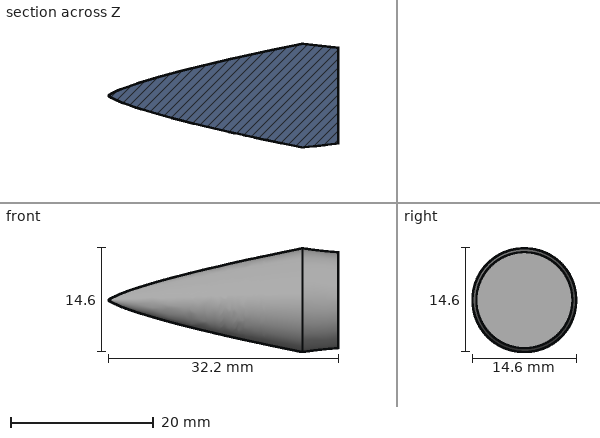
import cadquery as cq

total_length = 32.2
largest_diameter = 14.6
nose_length = 27.15
collar_end_diameter = 13.45

nose_power = 0.75
curve_points = 16

tip_x = -total_length / 2
shoulder_x = tip_x + nose_length
collar_end_x = tip_x + total_length
shoulder_radius = largest_diameter / 2
collar_end_radius = collar_end_diameter / 2


def nose_point(step):
    """Point on the nose curve, with the points closer together near the tip."""
    fraction = (step / curve_points) ** 2
    return tip_x + nose_length * fraction, shoulder_radius * fraction**nose_power


nose_curve = [nose_point(step) for step in range(1, curve_points + 1)]

profile = (
    cq.Workplane("XY")
    .moveTo(tip_x, 0)
    .spline(nose_curve, includeCurrent=True)
    .lineTo(collar_end_x, collar_end_radius)
    .lineTo(collar_end_x, 0)
    .close()
)

result = profile.revolve(360, (0, 0, 0), (1, 0, 0))